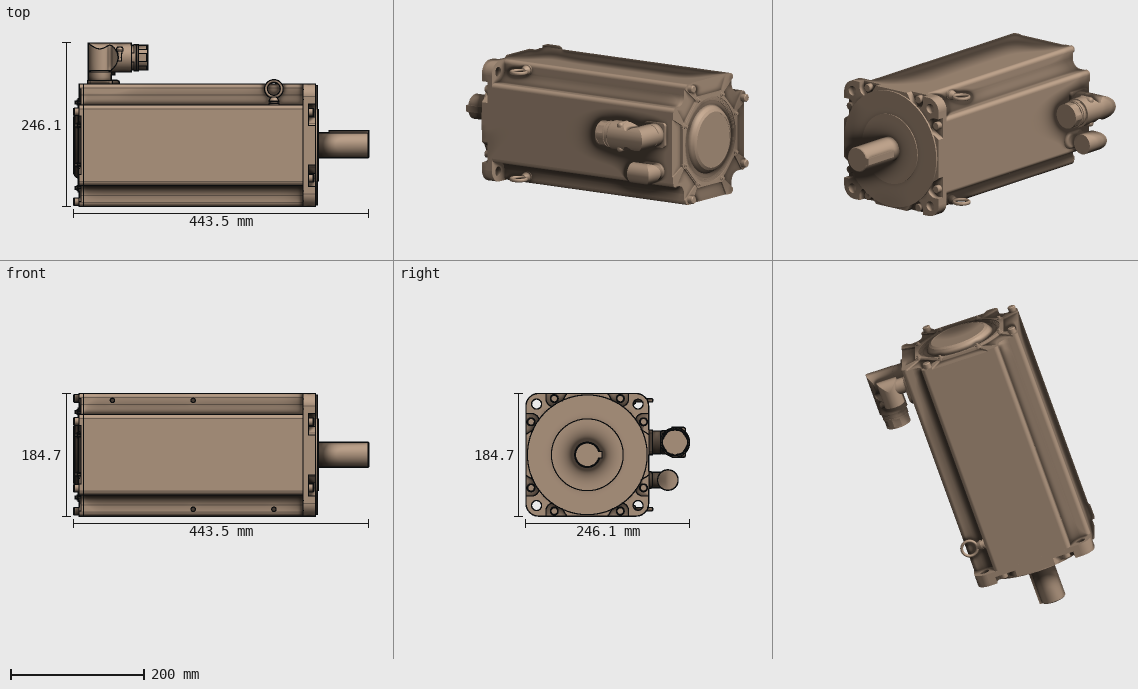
import cadquery as cq
import math


body_half = 92.33
wing_step = 60.6
notch_radius = 14.7
wing_radius = 6.4
flange_thickness = 18.7
housing_rear = -348.7
cap_base_thickness = 4.0
cap_rib_height = 2.7
cap_base_rear = housing_rear - cap_base_thickness
cap_rib_rear = cap_base_rear - cap_rib_height
motor_rear = -363.48
bolt_near = 49.6
bolt_far = 84.5
shaft_radius = 19.0
eyebolt_x = -62.7
side_hole_z = 81.8
side_hole_diameter = 6.53
side_hole_depth = 12.0
collar_diameter = 15.24
collar_top = 62.4
bolt_chamfer = 1.0


def cylinder_x(diameter, x_start, x_end, y=0, z=0):
    """Cylinder along X."""
    length = x_end - x_start
    return cq.Workplane("YZ", origin=(x_start, y, z)).circle(diameter / 2).extrude(length)


def cylinder_y(diameter, y_start, y_end, x, z):
    """Cylinder along Y."""
    length = y_end - y_start
    return cq.Workplane("XZ", origin=(x, y_start, z)).circle(diameter / 2).extrude(-length)


def quarter_turns(shape):
    """The shape and its three copies turned about the motor axis."""
    return [shape.rotate((0, 0, 0), (1, 0, 0), 90 * turn) for turn in range(4)]


def turned(y, z, turn):
    """A Y, Z point moved by quarter turns about the motor axis."""
    for _ in range(turn):
        y, z = z, -y
    return (y, z)


def body_prism(x_start, x_end):
    """Square body section with a rounded notch in each corner and rounded outer corners."""
    wall = wing_step
    bend = wing_step + notch_radius
    tip = body_half - wing_radius
    bend_inset = notch_radius * (1 - math.sqrt(0.5))
    tip_inset = wing_radius * (1 - math.sqrt(0.5))
    notch_middle = wall + bend_inset
    tip_outer = body_half - tip_inset
    tip_inner = wall - tip_inset
    section = cq.Workplane("YZ", origin=(x_start, 0, 0)).moveTo(wall - wing_radius, body_half)
    for turn in range(4):
        section = (
            section
            .threePointArc(turned(tip_inner, tip_outer, turn), turned(wall, tip, turn))
            .lineTo(*turned(wall, bend, turn))
            .threePointArc(turned(notch_middle, notch_middle, turn), turned(bend, wall, turn))
            .lineTo(*turned(tip, wall, turn))
            .threePointArc(turned(tip_outer, tip_inner, turn), turned(body_half, wall - wing_radius, turn))
            .lineTo(*turned(body_half, wing_radius - wall, turn))
        )
    return section.close().extrude(x_end - x_start)


side_hole_places = [(-305.3, 1), (-183.9, 1), (-183.9, -1), (eyebolt_x, -1)]


def make_housing():
    housing = body_prism(housing_rear, -flange_thickness)
    hole_bottom = wing_step - side_hole_depth
    for x, side in side_hole_places:
        housing = housing.cut(cylinder_y(side_hole_diameter, -wing_step, -hole_bottom, x, side * side_hole_z))
    for side in (1, -1):
        z = side * side_hole_z
        eyebolt_hole = cylinder_y(side_hole_diameter, hole_bottom, wing_step, eyebolt_x, z)
        collar_seat = cylinder_y(collar_diameter, wing_step, collar_top, eyebolt_x, z)
        housing = housing.cut(eyebolt_hole).cut(collar_seat)
    return housing


flange_corner_radius = 19.3
mount_hole_offset = 76.2
mount_hole_diameter = 14.71
pilot_diameter = 180.0
pilot_height = 2.67
hub_diameter = 108.0
hub_front = 4.0
pocket_depth = 10.7
pocket_end = 30.0
pocket_radius = 12.6
pocket_ramp_foot = 42.7
pocket_ramp_top = (32.7, 89.2)
front_bolt_diameter = 11.91
front_bolt_height = 8.0


def flange_pocket(side):
    """Pocket around one bolt of the +Z side, open to the side and to the front."""
    clear_of_side = body_half + pocket_radius
    bottom = bolt_far - pocket_radius
    round_side = bolt_near + pocket_radius
    arc_shift = pocket_radius * math.sqrt(0.5)
    ramp_along, ramp_out = pocket_ramp_top
    return (
        cq.Workplane("YZ", origin=(-pocket_depth, 0, 0))
        .moveTo(side * pocket_ramp_foot, bottom)
        .lineTo(side * ramp_along, ramp_out)
        .lineTo(side * pocket_end, body_half)
        .lineTo(side * pocket_end, clear_of_side)
        .lineTo(side * round_side, clear_of_side)
        .lineTo(side * round_side, bolt_far)
        .threePointArc((side * (bolt_near + arc_shift), bolt_far - arc_shift), (side * bolt_near, bottom))
        .close()
        .extrude(pocket_depth)
    )


def make_flange():
    plate = (
        cq.Workplane("YZ", origin=(-flange_thickness, 0, 0))
        .rect(2 * body_half, 2 * body_half)
        .extrude(flange_thickness)
        .edges("|X")
        .fillet(flange_corner_radius)
    )
    for side in (1, -1):
        for pocket in quarter_turns(flange_pocket(side)):
            plate = plate.cut(pocket)
        head = cylinder_x(
            front_bolt_diameter, -pocket_depth, front_bolt_height - pocket_depth, side * bolt_near, bolt_far
        ).faces(">X").chamfer(bolt_chamfer)
        for bolt in quarter_turns(head):
            plate = plate.union(bolt)
    mount_hole = cylinder_x(
        mount_hole_diameter, -flange_thickness, 0, mount_hole_offset, mount_hole_offset
    )
    for hole in quarter_turns(mount_hole):
        plate = plate.cut(hole)
    plate = plate.union(cylinder_x(pilot_diameter, 0, pilot_height))
    plate = plate.union(cylinder_x(hub_diameter, 0, hub_front))
    return plate.cut(cylinder_x(2 * shaft_radius, -flange_thickness, hub_front))


shaft_end = 80.0
shaft_chamfer = 1.3
key_start = 20.0
key_width = 10.0
key_top = 22.0


def make_shaft():
    shaft = cylinder_x(2 * shaft_radius, -flange_thickness, shaft_end).faces(">X").chamfer(shaft_chamfer)
    key = cq.Workplane("XY").box(
        shaft_end - key_start, key_top, key_width, centered=(False, False, True)
    ).translate((key_start, 0, 0))
    return shaft.union(key)


octagon_side_apothem = 69.6
octagon_corner_apothem = 68.2
screw_near = 29.4
screw_far = 64.1
screw_ear_diameter = 11.73
rear_bolt_diameter = 11.73
rear_bolt_near = 50.2
rear_bolt_far = 84.8
rear_bolt_places = [
    (rear_bolt_near, rear_bolt_far), (rear_bolt_near, -rear_bolt_far),
    (-rear_bolt_far, rear_bolt_near), (-rear_bolt_far, -rear_bolt_near),
]
side_panel = [(31.8, 69.8), (44.3, 93.0), (-44.3, 93.0), (-31.8, 69.8)]
corner_panel = [(34.0, 64.0), (68.0, 90.0), (90.0, 68.0), (64.0, 34.0)]
cover_rise = 1.8
cover_plate_rear = cap_rib_rear - cover_rise
cover_step = cap_base_rear - cover_plate_rear


def screw_points():
    """Places of the eight cover screws, in Y and Z."""
    points = []
    for near in (screw_near, -screw_near):
        for far in (screw_far, -screw_far):
            points += [(near, far), (far, near)]
    return points


def cover_plate():
    """Octagon with a round ear under each screw."""
    plane = cq.Workplane("YZ", origin=(cover_plate_rear, 0, 0))
    square = plane.rect(2 * octagon_side_apothem, 2 * octagon_side_apothem).extrude(cover_step)
    diamond = plane.rect(2 * octagon_corner_apothem, 2 * octagon_corner_apothem).extrude(cover_step)
    octagon = square.intersect(diamond.rotate((0, 0, 0), (1, 0, 0), 45))
    ears = plane.pushPoints(screw_points()).circle(screw_ear_diameter / 2).extrude(cover_step)
    return octagon.union(ears)


def make_rear_cap():
    base = body_prism(cap_base_rear, housing_rear)
    ribs = body_prism(cap_rib_rear, cap_base_rear)
    for outline in (side_panel, corner_panel):
        plane = cq.Workplane("YZ", origin=(cap_rib_rear, 0, 0))
        panel = plane.polyline(outline).close().extrude(cap_rib_height)
        for copy in quarter_turns(panel):
            ribs = ribs.cut(copy)
    cap = base.union(ribs.cut(cover_plate()))
    for y, z in rear_bolt_places:
        head = cylinder_x(rear_bolt_diameter, motor_rear, cap_base_rear, y, z)
        cap = cap.union(head.faces("<X").chamfer(bolt_chamfer))
    return cap


dome_base_radius = 52.4
dome_shoulder_radius = 46.6
dome_shoulder_x = -361.3
dome_rim_radius = 42.6
dome_recess_radius = 41.4
dome_recess_depth = 0.6
well_steps = [(64.8, 1.8), (62.9, 2.3), (61.0, 2.8), (59.2, 3.6)]
screw_head_diameter = 7.62
screw_head_height = 1.6
screw_tip_diameter = 4.45
screw_tip_height = 4.0


def make_cover():
    cover = cover_plate()
    for radius, depth in well_steps:
        cover = cover.cut(cylinder_x(2 * radius, cover_plate_rear, cover_plate_rear + depth))
    dome_base = cover_plate_rear + well_steps[-1][1]
    dome = (
        cq.Workplane("XY")
        .moveTo(dome_base, 0)
        .lineTo(dome_base, dome_base_radius)
        .lineTo(dome_shoulder_x, dome_shoulder_radius)
        .lineTo(motor_rear, dome_rim_radius)
        .lineTo(motor_rear, 0)
        .close()
        .revolve(360, (0, 0, 0), (1, 0, 0))
    )
    cover = cover.union(dome)
    cover = cover.cut(cylinder_x(2 * dome_recess_radius, motor_rear, motor_rear + dome_recess_depth))
    for y, z in screw_points():
        head = cylinder_x(screw_head_diameter, cover_plate_rear - screw_head_height, cover_plate_rear, y, z)
        tip = cylinder_x(screw_tip_diameter, cover_plate_rear - screw_tip_height, cover_plate_rear, y, z)
        cover = cover.union(head).union(tip)
    return cover


eye_outer_diameter = 28.1
eye_wire = 4.45
eye_width = 5.46
eye_center_y = 84.6
undercut_diameter = 11.91
undercut_top = 64.8
shoulder_diameter = 14.71
shoulder_top = 66.8
neck_top_diameter = 9.0


def make_eyebolt(z):
    eye_radius = (eye_outer_diameter - eye_wire) / 2
    screw_end = wing_step - side_hole_depth
    eye = (
        cq.Workplane("XZ")
        .center(eye_radius, 0)
        .ellipse(eye_wire / 2, eye_width / 2)
        .revolve(360, (-eye_radius, 0, 0), (-eye_radius, 1, 0))
        .translate((eyebolt_x, eye_center_y, z))
    )
    neck_top = eye_center_y - eye_radius
    stem = (
        cq.Workplane("XY")
        .moveTo(0, screw_end)
        .lineTo(side_hole_diameter / 2, screw_end)
        .lineTo(side_hole_diameter / 2, wing_step)
        .lineTo(collar_diameter / 2, wing_step)
        .lineTo(collar_diameter / 2, collar_top)
        .lineTo(undercut_diameter / 2, collar_top)
        .lineTo(undercut_diameter / 2, undercut_top)
        .lineTo(shoulder_diameter / 2, undercut_top)
        .lineTo(shoulder_diameter / 2, shoulder_top)
        .lineTo(neck_top_diameter / 2, neck_top)
        .lineTo(0, neck_top)
        .close()
        .revolve(360, (0, 0, 0), (0, 1, 0))
        .translate((eyebolt_x, 0, z))
    )
    return eye.union(stem)


def upright_prism(outline, y_start, y_end):
    """Prism along Y over a closed X, Z outline."""
    return cq.Workplane("XZ", origin=(0, y_start, 0)).polyline(outline).close().extrude(y_start - y_end)


power_x = -324.2
power_z = 18.7
power_top = 153.78
barrel_diameter = 44.0
barrel_y = power_top - barrel_diameter / 2
barrel_bottom = barrel_y - barrel_diameter / 2
barrel_end = -276.7
elbow_diameter = 35.4
valley_x = -309.5
shoulder_x = -297.0
valley_fillet = 4.5
power_neck_diameter = 34.8
power_neck_groove = 33.4
power_groove_top = 112.2
power_base_top = 97.6
power_base_width = 37.6
power_base_fillet = 5.0
ring_diameter = 39.9
coupling_diameter = 37.6
ring_spans = [(-273.2, -270.0), (-268.1, -266.2)]
nut_flats = 35.6
nut_rear = -266.2
nut_front = -254.4
coupling_end = -252.1
key_tab_width = 13.4
lock_x = -294.2
lock_stem_height = 19.2
lock_head_height = 17.7
lock_stem_diameter = 7.11
lock_stem_start = 126.9
lock_head_diameter = 10.25
lock_head_start = 141.4
lock_end = 147.8
lock_head_round = 4.0


def make_power_elbow():
    """Elbow and barrel: a barrel along X, narrowed to a round upright at its rear."""
    elbow_radius = elbow_diameter / 2
    barrel_half = barrel_diameter / 2
    valley_half = math.sqrt(elbow_radius ** 2 - (valley_x - power_x) ** 2)
    half_outline = [
        (power_x, valley_half), (valley_x, valley_half), (shoulder_x, barrel_half), (barrel_end, barrel_half),
    ]
    outline = [(x, power_z + z) for x, z in half_outline]
    outline += [(x, power_z - z) for x, z in reversed(half_outline)]
    upright = cylinder_y(elbow_diameter, barrel_bottom, power_top, power_x, power_z)
    plan = upright.union(upright_prism(outline, barrel_bottom, power_top))
    for side in (1, -1):
        valley_edge = cq.selectors.NearestToPointSelector((valley_x, barrel_y, power_z + side * valley_half))
        plan = plan.edges("|Y").edges(valley_edge).fillet(valley_fillet)
    barrel = cylinder_x(barrel_diameter, power_x - elbow_radius, barrel_end, barrel_y, power_z)
    below_axis = cq.Workplane("XY").box(
        elbow_diameter, barrel_y - power_groove_top, elbow_diameter, centered=(True, False, True)
    ).translate((power_x, power_groove_top, power_z))
    return plan.intersect(barrel.union(below_axis))


def make_power_foot():
    """Grooved neck on a square base with rounded corners."""
    neck = cylinder_y(power_neck_diameter, body_half, barrel_bottom, power_x, power_z)
    groove = cylinder_y(power_neck_groove, body_half, power_groove_top, power_x, power_z)
    base = (
        cq.Workplane("XZ", origin=(power_x, body_half, power_z))
        .rect(power_base_width, power_base_width)
        .extrude(body_half - power_base_top)
        .edges("|Y")
        .fillet(power_base_fillet)
    )
    return neck.union(groove).union(base)


def make_power_coupling():
    """Cable coupling with two rings and a nut with six flats."""
    coupling = cylinder_x(coupling_diameter, barrel_end, coupling_end, barrel_y, power_z)
    nut_length = nut_front - nut_rear
    hexagon = (
        cq.Workplane("YZ", origin=(nut_rear, barrel_y, power_z))
        .polygon(6, nut_flats / math.cos(math.pi / 6))
        .extrude(nut_length)
    )
    outside_flats = cylinder_x(2 * coupling_diameter, nut_rear, nut_front, barrel_y, power_z).cut(hexagon)
    coupling = coupling.cut(outside_flats)
    for ring_start, ring_end in ring_spans:
        coupling = coupling.union(cylinder_x(ring_diameter, ring_start, ring_end, barrel_y, power_z))
    first_ring = ring_spans[0][0]
    tab_band = cq.Workplane("XY").box(
        first_ring - barrel_end, key_tab_width, ring_diameter, centered=(False, True, True)
    ).translate((barrel_end, barrel_y, power_z))
    tabs = cylinder_x(ring_diameter, barrel_end, first_ring, barrel_y, power_z).intersect(tab_band)
    coupling = coupling.union(tabs)
    return coupling


def make_power_connector():
    connector = make_power_elbow().union(make_power_foot()).union(make_power_coupling())
    for side in (1, -1):
        stem = cylinder_y(
            lock_stem_diameter, lock_stem_start, lock_head_start, lock_x, power_z + side * lock_stem_height
        )
        head = cylinder_y(
            lock_head_diameter, lock_head_start, lock_end, lock_x, power_z + side * lock_head_height
        ).faces(">Y").edges().fillet(lock_head_round)
        connector = connector.union(stem).union(head)
    return connector


feedback_z = -37.9
feedback_rear = -341.7
feedback_front = -301.6
feedback_diameter = 31.0
feedback_axis_y = 121.1
feedback_x = feedback_rear + feedback_diameter / 2
feedback_neck_diameter = 23.6
feedback_base_width = 26.0
feedback_base_top = 97.7
feedback_base_front = -294.6
feedback_base_round = 4.5


def make_feedback_connector():
    radius = feedback_diameter / 2
    barrel = cylinder_x(feedback_diameter, feedback_rear, feedback_front, feedback_axis_y, feedback_z)
    low = feedback_axis_y - radius
    high = feedback_axis_y + radius
    plan = cylinder_y(feedback_diameter, low, high, feedback_x, feedback_z)
    front_half = [
        (feedback_x, feedback_z + radius), (feedback_front, feedback_z + radius),
        (feedback_front, feedback_z - radius), (feedback_x, feedback_z - radius),
    ]
    body = barrel.intersect(plan.union(upright_prism(front_half, low, high)))
    neck = cylinder_y(feedback_neck_diameter, body_half, feedback_axis_y, feedback_x, feedback_z)
    base_length = feedback_base_front - feedback_x + feedback_base_width / 2
    base = (
        cq.Workplane("XZ", origin=(feedback_base_front - base_length / 2, body_half, feedback_z))
        .slot2D(base_length, feedback_base_width)
        .extrude(body_half - feedback_base_top)
        .faces(">Y")
        .edges()
        .fillet(feedback_base_round)
    )
    return body.union(neck).union(base)


result = cq.Compound.makeCompound([
    make_housing().val(),
    make_flange().val(),
    make_shaft().val(),
    make_rear_cap().val(),
    make_cover().val(),
    make_eyebolt(side_hole_z).val(),
    make_eyebolt(-side_hole_z).val(),
    make_power_connector().val(),
    make_feedback_connector().val(),
])